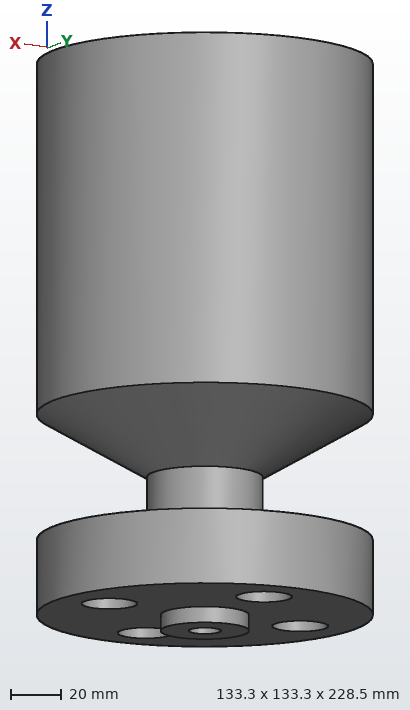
import cadquery as cq

body_diameter = 133.3
flange_diameter = body_diameter
neck_diameter = 46.0
spigot_diameter = 35.0
bore_diameter = 12.8

total_height = 228.5
spigot_height = 6.5
flange_thickness = 30.2
neck_height = 25.4
cone_height = 25.4

bolt_hole_count = 4
bolt_hole_diameter = 22.2
bolt_circle_diameter = 89.0

flange_top = spigot_height + flange_thickness
neck_top = flange_top + neck_height
cone_top = neck_top + cone_height


def turned_blank():
    """Revolve the half profile of spigot, flange, neck, cone and body around Z."""
    profile = [
        (0, 0),
        (spigot_diameter / 2, 0),
        (spigot_diameter / 2, spigot_height),
        (flange_diameter / 2, spigot_height),
        (flange_diameter / 2, flange_top),
        (neck_diameter / 2, flange_top),
        (neck_diameter / 2, neck_top),
        (body_diameter / 2, cone_top),
        (body_diameter / 2, total_height),
        (0, total_height),
    ]
    return cq.Workplane("XZ").polyline(profile).close().revolve(360, (0, 0), (0, 1))


def centre_bore():
    """Bore running the full height of the part."""
    return cq.Workplane("XY").circle(bore_diameter / 2).extrude(total_height)


def bolt_holes():
    """Through holes in the flange, the first one on the +X axis."""
    return (
        cq.Workplane("XY")
        .workplane(offset=spigot_height)
        .polarArray(bolt_circle_diameter / 2, 0, 360, bolt_hole_count)
        .circle(bolt_hole_diameter / 2)
        .extrude(flange_thickness)
    )


result = turned_blank().cut(centre_bore()).cut(bolt_holes())